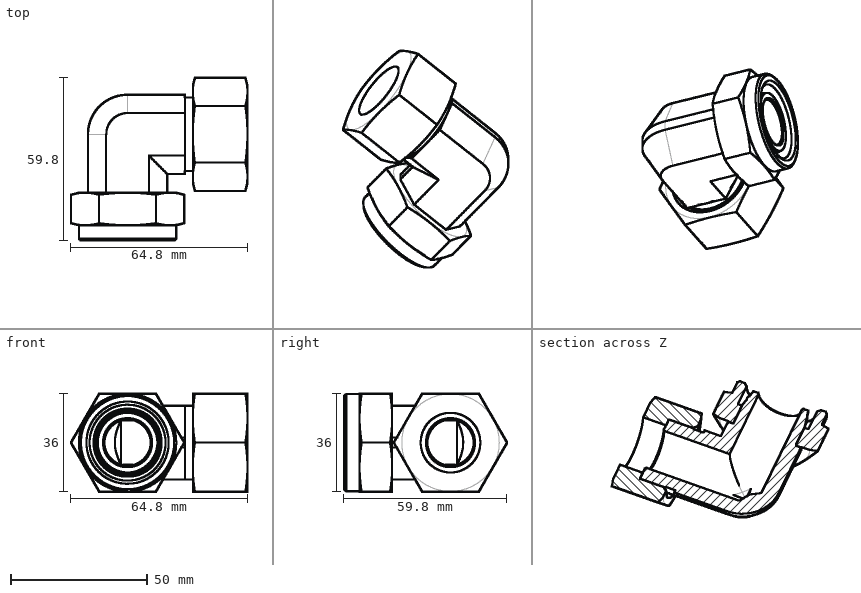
import cadquery as cq
import math


across_flats = 36.0
nut_chamfer_radius = 17.9
nut_chamfer_angle = 15.0
thread_radius = 13.9

body_height = 27.1
body_half_width = 14.6
stud_leg_length = 21.05
spout_leg_length = 21.4
bore_radius = 8.5
bore_overrun = 2.4
drill_half_angle = 59.0

stud_relief_end = 24.8
stud_end = 35.0

spout_face = 37.0
spout_face_radius = 10.95
spout_root_radius = 12.5
spout_half_angle = 12.0
seal_start = 2.6
seal_peak = 3.4
seal_end = 4.15
seal_peak_radius = 12.0
bore_chamfer = 0.5

stud_nut_start = 23.9
stud_nut_length = 20.1
mouth_radius = 15.3
mouth_step_radius = 14.8
mouth_lead_angle = 30.0

spout_hex_length = 12.0
spout_nut_length = 17.6
collar_chamfer = 0.8
collar_mouth_radius = 15.1

stud_relief_radius = body_height / 2
spout_flank_slope = math.tan(math.radians(spout_half_angle))
spout_root = spout_face - (spout_root_radius - spout_face_radius) / spout_flank_slope
stud_nut_end = stud_nut_start + stud_nut_length
spout_nut_end = spout_leg_length + spout_nut_length


def spin(outline):
    """Revolve a closed (axial, radial) outline about the X axis."""
    return outline.close().revolve(360, (0, 0, 0), (1, 0, 0))


def spin_points(points):
    return spin(cq.Workplane("XY").polyline(points))


def onto_spout_leg(shape):
    """Turn a shape built along +X so that it lies along -Y."""
    return shape.rotate((0, 0, 0), (0, 0, 1), -90)


def chamfered_hexagon(start, length):
    """Hexagonal prism along X, corners on Y, with both ends turned to a cone."""
    end = start + length
    corner_radius = across_flats / math.sqrt(3)
    corner_drop = (corner_radius - nut_chamfer_radius) * math.tan(math.radians(nut_chamfer_angle))
    prism = cq.Workplane("YZ", origin=(start, 0, 0)).polygon(6, 2 * corner_radius).extrude(length)
    envelope = spin_points([
        (start, 0),
        (start, nut_chamfer_radius),
        (start + corner_drop, corner_radius),
        (end - corner_drop, corner_radius),
        (end, nut_chamfer_radius),
        (end, 0),
    ])
    return prism.intersect(envelope)



def leg_section():
    """Half of the leg section as (side, height) corners, from top centre to bottom centre."""
    top = body_height / 2
    hexagon_corner = body_height / math.sqrt(3)
    side_height = (hexagon_corner - body_half_width) * math.sqrt(3)
    top_half_width = hexagon_corner / 2
    return [(0, top), (top_half_width, top), (body_half_width, side_height),
            (body_half_width, -side_height), (top_half_width, -top), (0, -top)]


def leg(length):
    return cq.Workplane("YZ").polyline(leg_section()).mirrorY().extrude(length)


def outer_bend():
    """Half of the leg section swept a quarter turn about Z, rounding the outside of the corner."""
    half = cq.Workplane("XZ").polyline([(-side, height) for side, height in leg_section()]).close()
    return half.revolve(90, (0, 0, 0), (0, -1, 0))


def stud():
    runout = thread_radius - stud_relief_radius
    return spin_points([
        (0, 0),
        (0, stud_relief_radius),
        (stud_relief_end, stud_relief_radius),
        (stud_relief_end + runout, thread_radius),
        (stud_end, thread_radius),
        (stud_end, 0),
    ])


def spout():
    def flank_point(setback):
        return (spout_face - setback, spout_face_radius + setback * spout_flank_slope)

    outline = (
        cq.Workplane("XY")
        .moveTo(0, 0)
        .lineTo(0, spout_root_radius)
        .lineTo(spout_root, spout_root_radius)
        .lineTo(*flank_point(seal_end))
        .threePointArc((spout_face - seal_peak, seal_peak_radius), flank_point(seal_start))
        .lineTo(spout_face, spout_face_radius)
        .lineTo(spout_face, 0)
    )
    return spin(outline)


def drilling(end, mouth_chamfer):
    """Drilled bore from a leg end to just past the crossing axis, with a conical tip."""
    tip_length = bore_radius / math.tan(math.radians(drill_half_angle))
    return spin_points([
        (-bore_overrun - tip_length, 0),
        (-bore_overrun, bore_radius),
        (end - mouth_chamfer, bore_radius),
        (end, bore_radius + mouth_chamfer),
        (end, 0),
    ])


def make_elbow():
    elbow = leg(stud_leg_length).union(onto_spout_leg(leg(spout_leg_length))).union(outer_bend())
    elbow = elbow.union(stud()).union(onto_spout_leg(spout()))
    elbow = elbow.cut(drilling(stud_end, bore_chamfer))
    return elbow.cut(onto_spout_leg(drilling(spout_face, bore_chamfer)))



def make_stud_nut():
    lead_depth = (mouth_radius - mouth_step_radius) * math.tan(math.radians(mouth_lead_angle))
    lead_end = stud_nut_start + lead_depth
    thread_start = lead_end + mouth_step_radius - thread_radius
    bore = spin_points([
        (stud_nut_start, 0),
        (stud_nut_start, mouth_radius),
        (lead_end, mouth_step_radius),
        (thread_start, thread_radius),
        (stud_end, thread_radius),
        (stud_end, spout_face_radius),
        (stud_nut_end, spout_face_radius),
        (stud_nut_end, 0),
    ])
    return chamfered_hexagon(stud_nut_start, stud_nut_length).cut(bore)



def make_spout_nut():
    collar = spin_points([
        (spout_leg_length, 0),
        (spout_leg_length, nut_chamfer_radius),
        (spout_nut_end - collar_chamfer, nut_chamfer_radius),
        (spout_nut_end, nut_chamfer_radius - collar_chamfer),
        (spout_nut_end, 0),
    ])
    mouth_depth = collar_mouth_radius - thread_radius
    bore = spin_points([
        (spout_leg_length, 0),
        (spout_leg_length, spout_root_radius),
        (spout_root, spout_root_radius),
        (spout_root, thread_radius),
        (spout_nut_end - mouth_depth, thread_radius),
        (spout_nut_end, collar_mouth_radius),
        (spout_nut_end, 0),
    ])
    nut = chamfered_hexagon(spout_leg_length, spout_hex_length).union(collar).cut(bore)
    return onto_spout_leg(nut)


elbow = make_elbow()
stud_nut = make_stud_nut()
spout_nut = make_spout_nut()

result = cq.Compound.makeCompound([body.solids().val() for body in (elbow, stud_nut, spout_nut)])